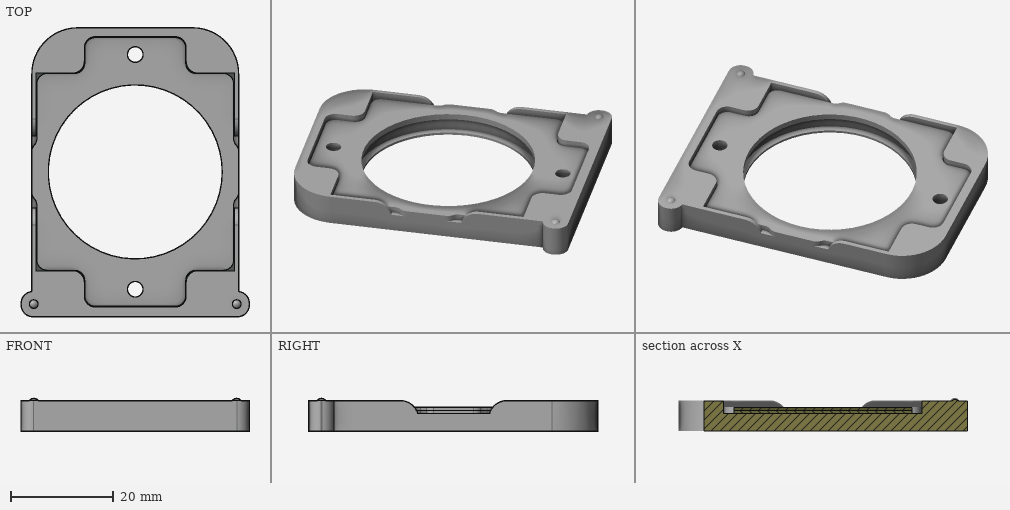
import cadquery as cq
import math

frame_width = 40.4
frame_length = 56.45
frame_height = 6.0
frame_corner_radius = 9.0
bore_to_front_edge = 28.3
front_y = -bore_to_front_edge
back_y = front_y + frame_length

overall_width = 44.6
ear_length = 5.0
ear_corner_radius = 2.4
ear_x = overall_width / 2 - ear_length / 2
ear_y = front_y + ear_length / 2
pip_diameter = 1.7
pip_height = 0.45

bore_diameter = 36.4
aperture_diameter = 33.9
lip_thickness = 0.5

screw_diameter = 3.0
screw_y = 22.9

plate_count = 2
plate_thickness = 0.6
plate_body_width = 38.4
plate_body_length = 38.4
plate_arm_width = 19.7
plate_total_length = 52.4
plate_corner_radius = 2.0

tab_tip_half_length = 3.9
tab_tip_radius = 2.0
tab_root_radius = 1.8
tab_projection = (frame_width - plate_body_width) / 2

pocket_clearance = 0.1
pocket_outer_clearance = 0.2
pocket_floor_z = 3.5
pocket_corner_radius = 2.2

notch_floor_length = 14.0
notch_flare_radius = 3.5


def cross_prism(body_width, body_length, arm_width, total_length, height):
    """Rectangle with one narrower arm at each Y end, rising from z = 0."""
    body = cq.Workplane("XY").rect(body_width, body_length).extrude(height)
    arms = cq.Workplane("XY").rect(arm_width, total_length).extrude(height)
    return body.union(arms)


def edges_at(half_width, half_length):
    """Selector for the four upright edges at the given X and Y distances."""
    reach = 0.01
    selector = None
    for x in (-half_width, half_width):
        for y in (-half_length, half_length):
            low_corner = (x - reach, y - reach, 0)
            high_corner = (x + reach, y + reach, frame_height)
            box = cq.selectors.BoxSelector(low_corner, high_corner)
            selector = box if selector is None else selector + box
    return selector


def round_arms(cross, arm_width, body_length, total_length, radius):
    """Round the arm ends and the inside corners where the arms meet the body."""
    for half_length in (body_length / 2, total_length / 2):
        cross = cross.edges("|Z").edges(edges_at(arm_width / 2, half_length)).fillet(radius)
    return cross


def make_frame_blank():
    body_length = back_y - ear_y
    blank = (
        cq.Workplane("XY")
        .center(0, ear_y + body_length / 2)
        .rect(frame_width, body_length)
        .extrude(frame_height)
        .edges("|Z and >Y")
        .fillet(frame_corner_radius)
    )
    front_bar = (
        cq.Workplane("XY")
        .center(0, ear_y)
        .rect(overall_width, ear_length)
        .extrude(frame_height)
        .edges("|Z")
        .fillet(ear_corner_radius)
    )
    return blank.union(front_bar)


def make_pip():
    """Spherical cap, revolved about a vertical axis, with its base at z = 0."""
    base_radius = pip_diameter / 2
    sphere_radius = (base_radius**2 + pip_height**2) / (2 * pip_height)
    half_angle = math.asin(base_radius / sphere_radius) / 2
    mid_radius = sphere_radius * math.sin(half_angle)
    mid_height = pip_height - sphere_radius * (1 - math.cos(half_angle))
    return (
        cq.Workplane("XZ")
        .lineTo(base_radius, 0)
        .threePointArc((mid_radius, mid_height), (0, pip_height))
        .close()
        .revolve(360, (0, 0, 0), (0, 1, 0))
    )


def make_pocket():
    width = plate_body_width + 2 * pocket_outer_clearance
    length = plate_body_length + 2 * pocket_clearance
    arm_width = plate_arm_width + 2 * pocket_clearance
    total_length = plate_total_length + 2 * pocket_outer_clearance
    pocket = cross_prism(width, length, arm_width, total_length, frame_height - pocket_floor_z)
    pocket = round_arms(pocket, arm_width, length, total_length, pocket_corner_radius)
    return pocket.translate((0, 0, pocket_floor_z))


def make_notches():
    """One cutter across the full width that opens both side walls."""
    depth = frame_height - pocket_floor_z
    flare_angle = math.acos(1 - depth / notch_flare_radius)
    half_floor = notch_floor_length / 2
    half_top = half_floor + notch_flare_radius * math.sin(flare_angle)
    mid_y = half_top - notch_flare_radius * math.sin(flare_angle / 2)
    mid_z = frame_height - notch_flare_radius * (1 - math.cos(flare_angle / 2))
    return (
        cq.Workplane("YZ")
        .moveTo(-half_floor, pocket_floor_z)
        .lineTo(half_floor, pocket_floor_z)
        .threePointArc((mid_y, mid_z), (half_top, frame_height))
        .lineTo(-half_top, frame_height)
        .threePointArc((-mid_y, mid_z), (-half_floor, pocket_floor_z))
        .close()
        .extrude(frame_width / 2, both=True)
    )


def drill(body, diameter, points, start_z=0.0):
    """Cut round holes upward from start_z through the rest of the body."""
    holes = (
        cq.Workplane("XY", origin=(0, 0, start_z))
        .pushPoints(points)
        .circle(diameter / 2)
        .extrude(frame_height)
    )
    return body.cut(holes)


def make_frame():
    frame = make_frame_blank().cut(make_pocket()).cut(make_notches())
    frame = drill(frame, aperture_diameter, [(0, 0)])
    frame = drill(frame, bore_diameter, [(0, 0)], lip_thickness)
    frame = drill(frame, screw_diameter, [(0, -screw_y), (0, screw_y)])
    for x in (-ear_x, ear_x):
        frame = frame.union(make_pip().translate((x, ear_y, frame_height)))
    return frame


def arc_offset(radius, angle):
    """Rise away from the tangent line, and run along it, of an arc turning by the angle."""
    return radius * (1 - math.cos(angle)), radius * math.sin(angle)


def make_side_tab():
    """Tab on the +X side; each flank is a concave root arc tangent to a convex tip arc."""
    root_x = plate_body_width / 2
    tip_x = root_x + tab_projection
    flank_angle = math.acos(1 - tab_projection / (tab_root_radius + tab_tip_radius))

    tip_half_rise, tip_half_run = arc_offset(tab_tip_radius, flank_angle / 2)
    tip_rise, tip_run = arc_offset(tab_tip_radius, flank_angle)
    root_half_rise, root_half_run = arc_offset(tab_root_radius, flank_angle / 2)
    root_run = arc_offset(tab_root_radius, flank_angle)[1]
    root_y = tab_tip_half_length + tip_run + root_run
    tip_arc_mid = (tip_x - tip_half_rise, tab_tip_half_length + tip_half_run)
    arc_joint = (tip_x - tip_rise, tab_tip_half_length + tip_run)
    root_arc_mid = (root_x + root_half_rise, root_y - root_half_run)
    half_tab = (
        cq.Workplane("XY")
        .moveTo(tip_x, 0)
        .lineTo(tip_x, tab_tip_half_length)
        .threePointArc(tip_arc_mid, arc_joint)
        .threePointArc(root_arc_mid, (root_x, root_y))
        .lineTo(0, root_y)
        .lineTo(0, 0)
        .close()
        .extrude(plate_thickness)
    )
    return half_tab.union(half_tab.mirror("XZ"))


def make_plate(z):
    plate = cross_prism(
        plate_body_width, plate_body_length, plate_arm_width, plate_total_length, plate_thickness
    )
    plate = round_arms(plate, plate_arm_width, plate_body_length, plate_total_length, plate_corner_radius)
    body_corners = edges_at(plate_body_width / 2, plate_body_length / 2)
    plate = plate.edges("|Z").edges(body_corners).fillet(plate_corner_radius)
    tab = make_side_tab()
    plate = plate.union(tab).union(tab.mirror("YZ"))
    plate = drill(plate, aperture_diameter, [(0, 0)])
    plate = drill(plate, screw_diameter, [(0, -screw_y), (0, screw_y)])
    return plate.translate((0, 0, z))


frame = make_frame()
plates = [make_plate(pocket_floor_z + level * plate_thickness) for level in range(plate_count)]

result = cq.Compound.makeCompound([frame.val(), *[plate.val() for plate in plates]])